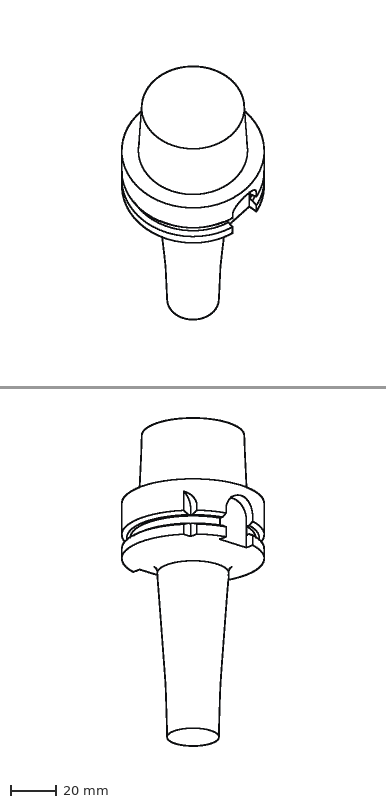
import cadquery as cq
import math

total_height = 142.0
flange_top = 110.0
flange_bottom = 84.0
neck_top = 77.2
neck_bottom = 75.1
tip_top = 25.0

plug_top_radius = 22.7
plug_base_radius = 24.1

flange_radius = 31.5
groove_radius = 27.7
groove_middle = 92.0
groove_floor_width = 4.0
groove_flank_height = 1.3
groove_shoulder_radius = 29.3

neck_radius = 15.8
tip_top_radius = 12.2
tip_end_radius = 11.5
fillet_radius = flange_bottom - neck_top

keyway_radius = 8.0
keyway_top = 105.2
keyway_floor = 26.3
notch_floor = 20.3
notch_edge = 19.9


def keyway_cutter(center_y, inner_x):
    """Round-topped block reaching from inner_x out past the -X side of the flange."""
    arch_center = keyway_top - keyway_radius
    outline = (
        cq.Workplane("YZ", origin=(-inner_x, 0, 0))
        .moveTo(center_y - keyway_radius, flange_bottom)
        .lineTo(center_y - keyway_radius, arch_center)
        .threePointArc((center_y, keyway_top), (center_y + keyway_radius, arch_center))
        .lineTo(center_y + keyway_radius, flange_bottom)
        .close()
    )
    return outline.extrude(-flange_radius)


def make_holder():
    """Plug, grooved flange and filleted root, down to the top of the shank."""
    floor_top = groove_middle + groove_floor_width / 2
    floor_bottom = groove_middle - groove_floor_width / 2
    flange = (
        cq.Workplane("XZ")
        .moveTo(0, flange_bottom)
        .lineTo(flange_radius, flange_bottom)
        .lineTo(flange_radius, floor_bottom - groove_flank_height)
        .lineTo(groove_shoulder_radius, floor_bottom)
        .lineTo(groove_radius, floor_bottom)
        .lineTo(groove_radius, floor_top)
        .lineTo(groove_shoulder_radius, floor_top)
        .lineTo(flange_radius, floor_top + groove_flank_height)
        .lineTo(flange_radius, flange_top)
        .lineTo(plug_base_radius, flange_top)
        .lineTo(plug_top_radius, total_height)
        .lineTo(0, total_height)
        .close()
        .revolve(360, (0, 0, 0), (0, 1, 0))
    )

    keyway = keyway_cutter(0, keyway_floor)
    flange = flange.cut(keyway).cut(keyway.mirror("YZ"))
    flange = flange.cut(keyway_cutter(notch_edge + keyway_radius, notch_floor))

    arc_middle_offset = fillet_radius * (1 - math.sqrt(0.5))
    root = (
        cq.Workplane("XZ")
        .moveTo(0, neck_top)
        .lineTo(neck_radius, neck_top)
        .threePointArc(
            (neck_radius + arc_middle_offset, flange_bottom - arc_middle_offset),
            (neck_radius + fillet_radius, flange_bottom),
        )
        .lineTo(0, flange_bottom)
        .close()
        .revolve(360, (0, 0, 0), (0, 1, 0))
    )
    return flange.union(root)


def make_shank():
    """Short cylindrical neck followed by two tapers down to the free end."""
    return (
        cq.Workplane("XZ")
        .lineTo(tip_end_radius, 0)
        .lineTo(tip_top_radius, tip_top)
        .lineTo(neck_radius, neck_bottom)
        .lineTo(neck_radius, neck_top)
        .lineTo(0, neck_top)
        .close()
        .revolve(360, (0, 0, 0), (0, 1, 0))
    )


holder = make_holder()
shank = make_shank()

result = cq.Compound.makeCompound([holder.val(), shank.val()])